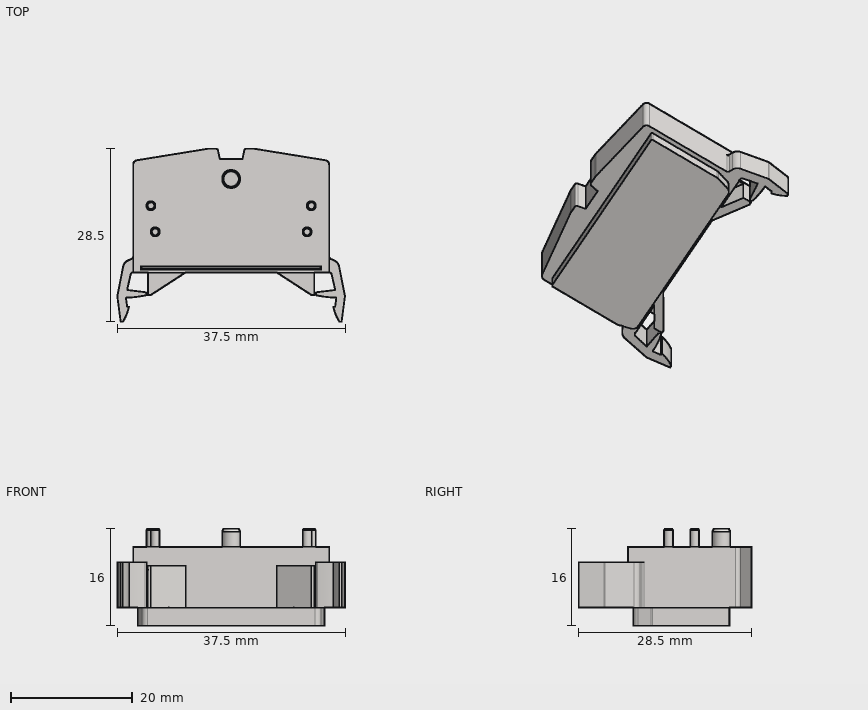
import cadquery as cq
import math


OVERALL_WIDTH = 37.48
OVERALL_DEPTH = 28.5

HOUSING_HALF_WIDTH = 16.15
HOUSING_DEPTH = 20.4
HOUSING_HEIGHT = 10.0
SHOULDER_Y = 18.4
SLOPE_END_X = 3.8
SHOULDER_RADIUS = 0.8
SLOPE_END_RADIUS = 1.5

NOTCH_FLOOR_HALF_WIDTH = 1.85
NOTCH_MOUTH_HALF_WIDTH = 2.2
NOTCH_DEPTH = 1.7
NOTCH_LIP_RADIUS = 0.4

PLINTH_HEIGHT = 3.0
PLINTH_HALF_WIDTH = 15.4
PLINTH_FRONT_Y = 0.9
PLINTH_BACK_Y = 16.75
PLINTH_TAPER_START_Y = 3.9
PLINTH_TAPER_ANGLE = 16.0
PLINTH_FRONT_RADIUS = 1.0
PLINTH_BACK_RADIUS = 0.2

PIN_HEIGHT = 3.0
KEY_PIN_DIAMETER = 3.0
KEY_PIN_Y = 15.4
KEY_PIN_TIP_HEIGHT = 0.5
KEY_PIN_TIP_INSET = 0.25
CONTACT_PIN_DIAMETER = 1.5
CONTACT_PIN_TIP_HEIGHT = 0.3
CONTACT_PIN_TIP_INSET = 0.2
CONTACT_PIN_PLACES = [(13.2, 11.0), (12.5, 6.7)]

GROOVE_LENGTH = 29.7
GROOVE_FRONT_Y = 0.5
GROOVE_BACK_Y = 1.02
GROOVE_DEPTH = 0.9
GROOVE_FRONT_TAPER = 0.25
GROOVE_END_TAPER = 0.15

WEDGE_HEIGHT = 6.9
WEDGE_OUTER_X = 13.7
WEDGE_INNER_X = 7.5
WEDGE_TIP_WIDTH = 0.5
WEDGE_LENGTH = 3.7
WEDGE_ROOF_THICKNESS = 0.7
WEDGE_WALL_ROOT_WIDTH = 2.8

CLIP_HEIGHT = 7.5
CLIP_OUTER_X = OVERALL_WIDTH / 2
CLIP_ROOT_Y = 2.6
CLIP_BEND_Y = -3.9
CLIP_BEND_FLAT = 0.15
CLIP_TIP_Y = HOUSING_DEPTH - OVERALL_DEPTH
CLIP_TIP_INNER_X = 17.8
CLIP_TIP_WIDTH = 0.4

RIB_END_X = 13.92
RIB_ROUND_START_X = 14.2
RIB_END_Y = -3.5
RIB_END_HALF_WIDTH = 0.3

ROOT_FILLET_MIDDLE = (-16.21, 2.42)
ROOT_FILLET_END = (-16.35, 2.29)
SHOULDER_START = (-16.95, 2.01)
SHOULDER_MIDDLE = (-17.5, 1.6)
SHOULDER_END = (-17.79, 1.0)

HOOK_FLANK_MIDDLE = (-17.2, -6.95)
HOOK_POINT = (-16.8, -5.65)
HOOK_CORNER = (-17.1, -5.6)
RIB_FRONT_ROOT = (-17.3, -4.15)
RIB_FRONT_MIDDLE = (-15.75, -4.05)
RIB_BACK_ROOT = (-17.1, -2.85)
INNER_FILLET_START = (-16.52, -0.29)
INNER_FILLET_MIDDLE = (-16.38, -0.08)


def prism(outline, base_z, height):
    """Extrude a closed outline upwards from base_z."""
    return outline.extrude(height).translate((0, 0, base_z))


def both_sides(shape):
    """Join a shape on the -X side with its mirror image."""
    return shape.union(shape.mirror("YZ"))


def round_corners(body, x, y, radius):
    """Round the pair of upright edges nearest to (x, y) and (-x, y)."""
    for side in (-1, 1):
        corner = cq.selectors.NearestToPointSelector((side * x, y, 0))
        body = body.edges("|Z").edges(corner).fillet(radius)
    return body


def mirrored_outline(half_outline):
    """Closed outline from its +X half, listed from front to back."""
    other_half = [(-x, y) for x, y in reversed(half_outline)]
    return cq.Workplane().polyline(half_outline + other_half).close()


def make_housing():
    notch_floor_y = HOUSING_DEPTH - NOTCH_DEPTH
    half_outline = [
        (HOUSING_HALF_WIDTH, 0),
        (HOUSING_HALF_WIDTH, SHOULDER_Y),
        (SLOPE_END_X, HOUSING_DEPTH),
        (NOTCH_MOUTH_HALF_WIDTH, HOUSING_DEPTH),
        (NOTCH_FLOOR_HALF_WIDTH, notch_floor_y),
    ]
    housing = prism(mirrored_outline(half_outline), 0, HOUSING_HEIGHT)
    housing = round_corners(housing, HOUSING_HALF_WIDTH, SHOULDER_Y, SHOULDER_RADIUS)
    housing = round_corners(housing, SLOPE_END_X, HOUSING_DEPTH, SLOPE_END_RADIUS)
    return round_corners(housing, NOTCH_MOUTH_HALF_WIDTH, HOUSING_DEPTH, NOTCH_LIP_RADIUS)


def make_plinth():
    taper_run = PLINTH_TAPER_START_Y - PLINTH_FRONT_Y
    front_half_width = PLINTH_HALF_WIDTH - taper_run * math.tan(math.radians(PLINTH_TAPER_ANGLE))
    half_outline = [
        (front_half_width, PLINTH_FRONT_Y),
        (PLINTH_HALF_WIDTH, PLINTH_TAPER_START_Y),
        (PLINTH_HALF_WIDTH, PLINTH_BACK_Y),
    ]
    plinth = prism(mirrored_outline(half_outline), -PLINTH_HEIGHT, PLINTH_HEIGHT)
    plinth = round_corners(plinth, front_half_width, PLINTH_FRONT_Y, PLINTH_FRONT_RADIUS)
    plinth = round_corners(plinth, PLINTH_HALF_WIDTH, PLINTH_TAPER_START_Y, PLINTH_FRONT_RADIUS)
    return round_corners(plinth, PLINTH_HALF_WIDTH, PLINTH_BACK_Y, PLINTH_BACK_RADIUS)


def make_pin(x, y, diameter, tip_height, tip_inset):
    """Round pin on the top face with a conical lead-in at its tip."""
    radius = diameter / 2
    profile = [
        (0, 0),
        (radius, 0),
        (radius, PIN_HEIGHT - tip_height),
        (radius - tip_inset, PIN_HEIGHT),
        (0, PIN_HEIGHT),
    ]
    pin = cq.Workplane("XZ").polyline(profile).close().revolve(360, (0, 0, 0), (0, 1, 0))
    return pin.translate((x, y, HOUSING_HEIGHT))


def make_pins():
    pins = make_pin(0, KEY_PIN_Y, KEY_PIN_DIAMETER, KEY_PIN_TIP_HEIGHT, KEY_PIN_TIP_INSET)
    for x, y in CONTACT_PIN_PLACES:
        for side in (-1, 1):
            pins = pins.add(make_pin(
                side * x, y, CONTACT_PIN_DIAMETER, CONTACT_PIN_TIP_HEIGHT, CONTACT_PIN_TIP_INSET
            ))
    return pins.combine()


def make_groove():
    """Cutter for the groove: upright back wall, front wall and ends drawn in towards the floor."""
    mouth_width = GROOVE_BACK_Y - GROOVE_FRONT_Y
    floor_width = mouth_width - GROOVE_FRONT_TAPER
    floor_length = GROOVE_LENGTH - 2 * GROOVE_END_TAPER
    groove = (
        cq.Workplane()
        .rect(GROOVE_LENGTH, mouth_width)
        .workplane(offset=-GROOVE_DEPTH)
        .center(0, GROOVE_FRONT_TAPER / 2)
        .rect(floor_length, floor_width)
        .loft(ruled=True)
    )
    return groove.translate((0, GROOVE_FRONT_Y + mouth_width / 2, HOUSING_HEIGHT))


def make_wedges():
    """Hollow wedges: a slanted wall under a roof, open to the outer side and underneath."""
    outline = [
        (-WEDGE_OUTER_X, 0),
        (-WEDGE_OUTER_X, -WEDGE_LENGTH),
        (-WEDGE_OUTER_X + WEDGE_TIP_WIDTH, -WEDGE_LENGTH),
        (-WEDGE_INNER_X, 0),
    ]
    slope = WEDGE_LENGTH / (WEDGE_OUTER_X - WEDGE_TIP_WIDTH - WEDGE_INNER_X)
    hollow_width = WEDGE_OUTER_X - WEDGE_INNER_X - WEDGE_WALL_ROOT_WIDTH
    hollow_outline = [
        (-WEDGE_OUTER_X, 0),
        (-WEDGE_OUTER_X, -hollow_width * slope),
        (-WEDGE_OUTER_X + hollow_width, 0),
    ]
    wedge = prism(cq.Workplane().polyline(outline).close(), 0, WEDGE_HEIGHT)
    hollow = prism(
        cq.Workplane().polyline(hollow_outline).close(), 0, WEDGE_HEIGHT - WEDGE_ROOF_THICKNESS
    )
    return both_sides(wedge.cut(hollow))


def make_clips():
    """Spring arms, each with a rib pointing inwards and a hooked tip."""
    inner_fillet_end = (-HOUSING_HALF_WIDTH, 0)
    root = (-HOUSING_HALF_WIDTH, CLIP_ROOT_Y)
    bend_start = (-CLIP_OUTER_X, CLIP_BEND_Y + CLIP_BEND_FLAT / 2)
    bend_end = (-CLIP_OUTER_X, CLIP_BEND_Y - CLIP_BEND_FLAT / 2)
    tip_outer = (-CLIP_TIP_INNER_X - CLIP_TIP_WIDTH, CLIP_TIP_Y)
    tip_inner = (-CLIP_TIP_INNER_X, CLIP_TIP_Y)
    rib_end_front = (-RIB_ROUND_START_X, RIB_END_Y - RIB_END_HALF_WIDTH)
    rib_end = (-RIB_END_X, RIB_END_Y)
    rib_end_back = (-RIB_ROUND_START_X, RIB_END_Y + RIB_END_HALF_WIDTH)

    outline = (
        cq.Workplane()
        .moveTo(*inner_fillet_end)
        .lineTo(*root)
        .threePointArc(ROOT_FILLET_MIDDLE, ROOT_FILLET_END)
        .lineTo(*SHOULDER_START)
        .threePointArc(SHOULDER_MIDDLE, SHOULDER_END)
        .lineTo(*bend_start)
        .lineTo(*bend_end)
        .lineTo(*tip_outer)
        .lineTo(*tip_inner)
        .threePointArc(HOOK_FLANK_MIDDLE, HOOK_POINT)
        .lineTo(*HOOK_CORNER)
        .lineTo(*RIB_FRONT_ROOT)
        .threePointArc(RIB_FRONT_MIDDLE, rib_end_front)
        .threePointArc(rib_end, rib_end_back)
        .lineTo(*RIB_BACK_ROOT)
        .lineTo(*INNER_FILLET_START)
        .threePointArc(INNER_FILLET_MIDDLE, inner_fillet_end)
        .close()
    )
    return both_sides(prism(outline, 0, CLIP_HEIGHT))


result = (
    make_housing()
    .union(make_plinth())
    .union(make_pins())
    .union(make_wedges())
    .union(make_clips())
    .cut(make_groove())
)